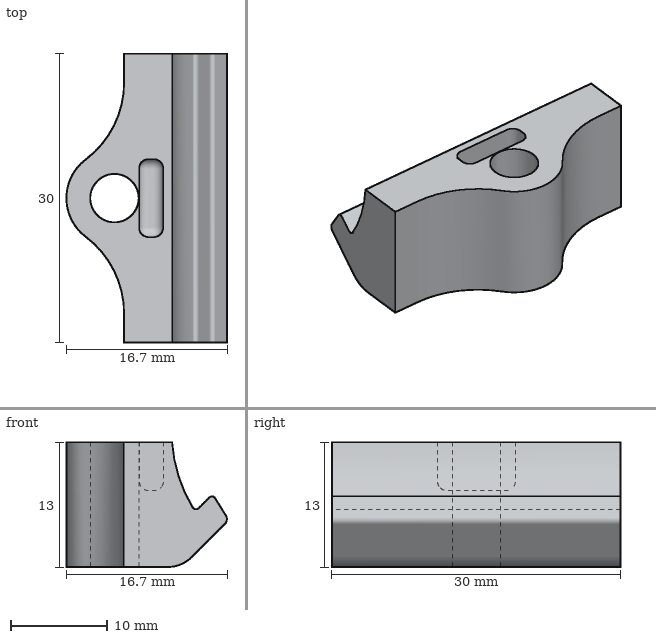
import cadquery as cq

length = 30.0
height = 13.0
bore_diameter = 5.0
boss_radius = bore_diameter

back_x = 1.0
blend_start_y = 12.0
plan_right_x = 13.5

top_edge_x = 6.0
throat_radius = 15.0
valley = (8.4, 5.8)
hook_peak = (10.2, 7.6)
hook_tip = (11.88, 4.9)
underside_bend_x = hook_tip[0] - hook_tip[1]
valley_fillet = 0.4
peak_fillet = 0.4
tip_fillet = 0.7
underside_fillet = 3.5

slot_x = 3.8
slot_width = 2.52
slot_length = 8.1
slot_depth = 5.0
slot_fillet = 1.0


def plan_body():
    """Boss and back outline, extruded to full height."""
    blend_radius = (blend_start_y**2 + back_x**2 - boss_radius**2) / (2 * (boss_radius + back_x))
    blend_x = back_x - blend_radius
    center_distance = blend_radius + boss_radius
    join_x = blend_x * boss_radius / center_distance
    join_y = blend_start_y * boss_radius / center_distance
    half_length = length / 2
    return (
        cq.Workplane("XY")
        .moveTo(plan_right_x, -half_length)
        .lineTo(plan_right_x, half_length)
        .lineTo(back_x, half_length)
        .lineTo(back_x, blend_start_y)
        .radiusArc((join_x, join_y), blend_radius)
        .threePointArc((-boss_radius, 0), (join_x, -join_y))
        .radiusArc((back_x, -blend_start_y), blend_radius)
        .lineTo(back_x, -half_length)
        .close()
        .extrude(height)
    )


def hook_profile():
    """Constant side section with the hook, running the full length."""
    section = (
        cq.Workplane("XZ")
        .moveTo(-boss_radius, 0)
        .lineTo(-boss_radius, height)
        .lineTo(top_edge_x, height)
        .radiusArc(valley, -throat_radius)
        .lineTo(*hook_peak)
        .lineTo(*hook_tip)
        .lineTo(underside_bend_x, 0)
        .close()
        .extrude(length / 2, both=True)
    )
    rounded_corners = (
        (valley, valley_fillet),
        (hook_peak, peak_fillet),
        (hook_tip, tip_fillet),
        ((underside_bend_x, 0), underside_fillet),
    )
    for (x, z), radius in rounded_corners:
        corner_edge = cq.selectors.NearestToPointSelector((x, 0, z))
        section = section.edges("|Y").edges(corner_edge).fillet(radius)
    return section


def slot():
    """Slot volume with rounded corners and a rounded floor."""
    return (
        cq.Workplane("XY", origin=(slot_x, 0, height - slot_depth))
        .rect(slot_width, slot_length)
        .extrude(slot_depth)
        .edges("|Z")
        .fillet(slot_fillet)
        .faces("<Z")
        .edges()
        .fillet(slot_fillet)
    )


bore = cq.Workplane("XY").circle(bore_diameter / 2).extrude(height)
result = plan_body().intersect(hook_profile()).cut(bore).cut(slot())